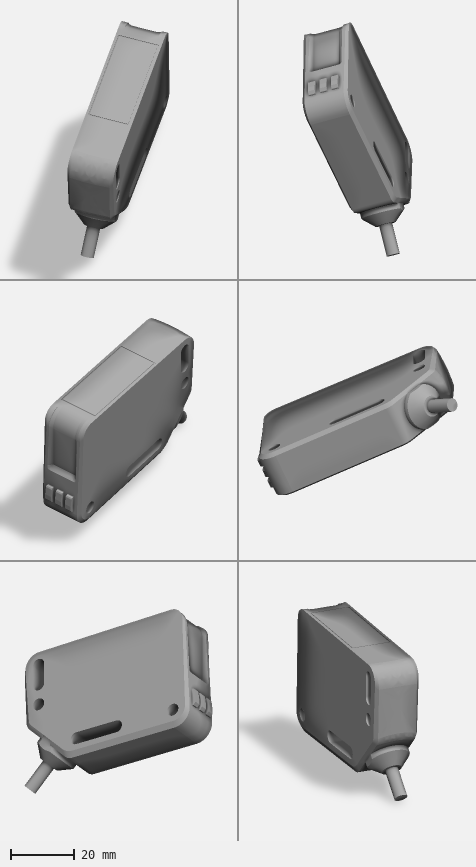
import cadquery as cq
import math


width = 15.1
half_width = width / 2
core_half = 6.55
overlap = 1.0

top_at_rear = 40.21
top_slope = 0.0255
bottom_inset = 1.9
diagonal_at_bottom = 16.57
diagonal_angle = 45
diagonal_inset = 1.4

front_line = (62.4, 0.055)
side_front_line = (61.15, 0.033)
rear_centre = (0.15, 0.005)
rear_edge = (1.75, 0.040)
side_rear_line = (3.75, 0.0705)

outer_radii = [5.3, 6.4, 4.0, 3.5, 5.8]
side_radii = [4.2, 5.2, 2.5, 5.5, 4.4]

hole_diameter = 4.15
rear_hole = (6.2, 21.85)
front_hole = (56.37, 5.9)
rear_slot = (6.2, 32.4)
rear_slot_length = 11.1
bottom_slot = (27.75, 5.9)
bottom_slot_length = 19.2

outlet_y = 8.81
outlet_z = diagonal_at_bottom - outlet_y
gland_radius = 7.1
gland_rim = 1.7
gland_length = 5.2
gland_tip_radius = 3.3
gland_half_width = core_half
cable_diameter = 4.25
cable_length = 15.13
root = 2.0

button_width = 2.3
button_pitch = 3.85
button_top = 12.95
button_bottom = 7.0
button_front = 63.22
button_crown_setback = 0.7
button_edge = 0.4
button_slope_height = 3.2
button_flat_height = 1.8
button_chin_setback = 0.75

channel_floor_half = 4.3
channel_mouth_half = 5.6
channel_floor_y = 59.85
channel_foot_z = 18.9
channel_top_y = 54.1
channel_clearance = 0.05

label_width = 13.4
label_front = 52.5
label_rear = 20.6
groove_width = 0.35
groove_depth = 0.2

notch_length = 4.3
notch_depth = 1.4
notch_low_z = 6.8
notch_floor_x = core_half


def top_z(y):
    return top_at_rear + top_slope * y


def meet_top(at_bottom, slope):
    """Point where the line y = at_bottom - slope * z meets the top plane."""
    z = (top_at_rear + top_slope * at_bottom) / (1 + top_slope * slope)
    return (at_bottom - slope * z, z)


def unit(start, end):
    length = math.dist(start, end)
    return ((end[0] - start[0]) / length, (end[1] - start[1]) / length)


def rounded_outline(x, corners, radii):
    """Closed (Y, Z) polygon at the given X with every corner rounded."""
    path = cq.Workplane("YZ", origin=(x, 0, 0))
    count = len(corners)
    for i in range(count):
        corner = corners[i]
        radius = radii[i]
        back = unit(corner, corners[i - 1])
        ahead = unit(corner, corners[(i + 1) % count])
        half_angle = math.acos(back[0] * ahead[0] + back[1] * ahead[1]) / 2
        tangent = radius / math.tan(half_angle)
        sagitta = radius / math.sin(half_angle) - radius
        middle = unit((0, 0), (back[0] + ahead[0], back[1] + ahead[1]))
        start = (corner[0] + back[0] * tangent, corner[1] + back[1] * tangent)
        mid = (corner[0] + middle[0] * sagitta, corner[1] + middle[1] * sagitta)
        end = (corner[0] + ahead[0] * tangent, corner[1] + ahead[1] * tangent)
        path = path.moveTo(*start) if i == 0 else path.lineTo(*start)
        path = path.threePointArc(mid, end)
    return path.close()


def housing_corners(front, rear, bottom, diagonal):
    """Sharp corners; front and rear are (Y at Z = 0, lean towards -Y per mm of Z)."""
    rear_low_z = (diagonal - rear[0]) / (1 - rear[1])
    return [
        meet_top(*front),
        meet_top(*rear),
        (diagonal - rear_low_z, rear_low_z),
        (diagonal - bottom, bottom),
        (front[0] - front[1] * bottom, bottom),
    ]


def core_wire(x, rear):
    corners = housing_corners(front_line, rear, 0, diagonal_at_bottom)
    return rounded_outline(x, corners, outer_radii).wires().val()


def make_core():
    """Middle of the housing: a smooth loft that bows the rear across X."""
    wires = [
        core_wire(-core_half, rear_edge),
        core_wire(0, rear_centre),
        core_wire(core_half, rear_edge),
    ]
    return cq.Workplane(cq.Solid.makeLoft(wires))


def make_bevelled_side(sign):
    """Layer between the core and one side face, bevelled all round except along the top."""
    side = housing_corners(
        side_front_line,
        side_rear_line,
        bottom_inset,
        diagonal_at_bottom + diagonal_inset * math.sqrt(2),
    )
    wires = [
        core_wire(sign * core_half, rear_edge),
        rounded_outline(sign * half_width, side, side_radii).wires().val(),
    ]
    return cq.Workplane(cq.Solid.makeLoft(wires, True))


def make_holes():
    """Two round holes and two slots through the full thickness."""
    plane = cq.Workplane("YZ", origin=(-half_width, 0, 0))
    holes = plane.pushPoints([rear_hole, front_hole]).circle(hole_diameter / 2).extrude(width)
    upright = plane.center(*rear_slot).slot2D(rear_slot_length, hole_diameter, 90).extrude(width)
    level = plane.center(*bottom_slot).slot2D(bottom_slot_length, hole_diameter).extrude(width)
    return holes.union(upright).union(level)


def make_cable_outlet():
    """Conical gland with two side flats and a straight cable, square to the diagonal face."""
    gland = (
        cq.Workplane("XY")
        .moveTo(0, -root)
        .lineTo(gland_radius, -root)
        .lineTo(gland_radius, gland_rim)
        .lineTo(gland_tip_radius, gland_length)
        .lineTo(0, gland_length)
        .close()
        .revolve(360, (0, 0, 0), (0, 1, 0))
    )
    flats = cq.Workplane("XY").box(2 * gland_half_width, 4 * gland_radius, 4 * gland_radius)
    cable = cq.Workplane("XZ").circle(cable_diameter / 2).extrude(-cable_length)
    outlet = gland.intersect(flats).union(cable)
    return outlet.rotate((0, 0, 0), (1, 0, 0), 180 + diagonal_angle).translate((0, outlet_y, outlet_z))


def make_buttons():
    """Three small buttons in a row across the front face."""
    root_y = button_front - root
    flat_top = button_top - button_slope_height
    profile = [
        (root_y, button_top),
        (button_front - button_crown_setback, button_top),
        (button_front - button_edge, button_top - button_edge),
        (button_front, flat_top),
        (button_front, flat_top - button_flat_height),
        (button_front - button_chin_setback, button_bottom),
        (root_y, button_bottom),
    ]
    button = cq.Workplane("YZ").polyline(profile).close().extrude(button_width / 2, both=True)
    row = button
    for side in (-1, 1):
        row = row.union(button.translate((side * button_pitch, 0, 0)))
    return row


def front_y(z):
    at_bottom, lean = front_line
    return at_bottom - lean * z


def channel_section(x, ramp_top, bend_start):
    """Cutter outline at one X, from the ramp foot up to where it leaves through the top."""
    foot = (front_y(channel_foot_z) + channel_clearance, channel_foot_z)
    bend_end = (channel_top_y, top_z(channel_top_y))
    outside_y = foot[0] + overlap
    outside_z = bend_end[1] + overlap
    return (
        cq.Workplane("YZ", origin=(x, 0, 0))
        .moveTo(outside_y, channel_foot_z)
        .lineTo(*foot)
        .lineTo(*ramp_top)
        .lineTo(*bend_start)
        .tangentArcPoint(bend_end, relative=False)
        .lineTo(channel_top_y, outside_z)
        .lineTo(outside_y, outside_z)
        .close()
        .wires()
        .val()
    )


def make_channel():
    """Cutter for the channel over the top front corner: upright floor, ramp foot, sloping walls."""
    ramp_z = channel_foot_z + front_y(channel_foot_z) - channel_floor_y
    bend_z = top_z(channel_top_y) - (channel_floor_y - channel_top_y)
    floor = [(channel_floor_y, ramp_z), (channel_floor_y, bend_z)]
    mouth = [(front_y(z) + channel_clearance, z) for z in (ramp_z, bend_z)]
    stations = [
        (-channel_mouth_half, mouth),
        (-channel_floor_half, floor),
        (channel_floor_half, floor),
        (channel_mouth_half, mouth),
    ]
    return cq.Workplane(cq.Solid.makeLoft([channel_section(x, *line) for x, line in stations], True))


def make_label_groove():
    """Cutter for the thin rectangular groove around the label on the sloping top."""
    length = label_front - label_rear
    middle_y = (label_front + label_rear) / 2
    height = 2 * groove_depth
    frame = cq.Workplane("XY").box(label_width, length, height)
    island = cq.Workplane("XY").box(label_width - 2 * groove_width, length - 2 * groove_width, height)
    tilt = math.degrees(math.atan(top_slope))
    return frame.cut(island).rotate((0, 0, 0), (1, 0, 0), tilt).translate((0, middle_y, top_z(middle_y)))


def make_notch():
    """Cutter for the small notch in the bevel on the +X edge of the diagonal face."""
    block = cq.Workplane("XY").box(
        half_width - notch_floor_x + overlap, 2 * notch_depth, notch_length, centered=(False, True, False)
    )
    return block.rotate((0, 0, 0), (1, 0, 0), diagonal_angle).translate(
        (notch_floor_x, diagonal_at_bottom - notch_low_z, notch_low_z)
    )


result = make_core()
for sign in (-1, 1):
    result = result.union(make_bevelled_side(sign))
result = result.cut(make_channel())
result = result.union(make_cable_outlet())
result = result.union(make_buttons())
result = result.cut(make_holes())
result = result.cut(make_label_groove())
result = result.cut(make_notch())